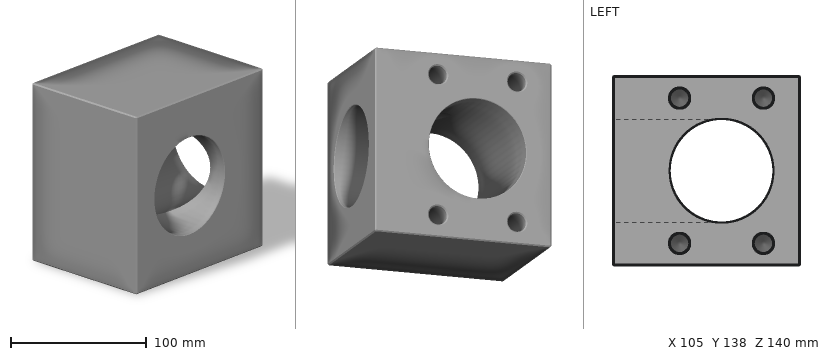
import cadquery as cq
import math

length_x = 105.0
width_y = 138.0
height_z = 140.0
edge_chamfer = 1.0

bore_diameter = 76.0
bore_y = -11.0
rim_chamfer = 0.4

port_length = width_y / 2 - bore_y

bolt_circle_diameter = 123.5
bolt_angles = (60, 120, 240, 300)
hole_diameter = 14.0
hole_mouth_diameter = 16.0
hole_depth = 35.0
drill_tip_angle = 118.0


def revolve_about_x(profile):
    """Revolve (x, radius) points about the X axis."""
    return cq.Workplane("XY").polyline(profile).close().revolve(360, (0, 0, 0), (1, 0, 0))


def make_block():
    return cq.Workplane("XY").box(length_x, width_y, height_z).edges().chamfer(edge_chamfer)


def make_main_bore():
    radius = bore_diameter / 2
    rim_radius = radius + rim_chamfer
    profile = [
        (0, 0),
        (0, rim_radius),
        (rim_chamfer, radius),
        (length_x - rim_chamfer, radius),
        (length_x, rim_radius),
        (length_x, 0),
    ]
    return revolve_about_x(profile).translate((-length_x / 2, bore_y, 0))


def make_side_port():
    radius = bore_diameter / 2
    profile = [
        (0, 0),
        (0, radius + rim_chamfer),
        (rim_chamfer, radius),
        (port_length, radius),
        (port_length, 0),
    ]
    port = revolve_about_x(profile).rotate((0, 0, 0), (0, 0, 1), -90)
    return port.translate((0, width_y / 2, 0))


def make_bolt_hole(angle):
    radius = hole_diameter / 2
    mouth_radius = hole_mouth_diameter / 2
    tip_length = radius / math.tan(math.radians(drill_tip_angle / 2))
    profile = [
        (0, 0),
        (0, mouth_radius),
        (mouth_radius - radius, radius),
        (hole_depth, radius),
        (hole_depth + tip_length, 0),
    ]
    circle_radius = bolt_circle_diameter / 2
    y = bore_y + circle_radius * math.cos(math.radians(angle))
    z = circle_radius * math.sin(math.radians(angle))
    return revolve_about_x(profile).translate((-length_x / 2, y, z))


result = make_block().cut(make_main_bore()).cut(make_side_port())
for bolt_angle in bolt_angles:
    result = result.cut(make_bolt_hole(bolt_angle))